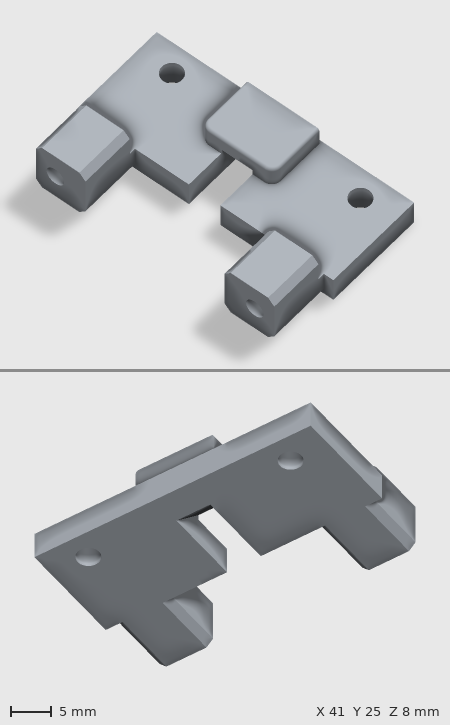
import cadquery as cq
import math

plate_width = 41.0
plate_depth = 15.5
plate_height = 3.98
mount_hole_diameter = 3.2
mount_hole_inset = 5.5
mount_hole_rear_gap = 3.7

boss_width = 11.6
boss_rear_gap = 0.5
boss_depth = 8.8
boss_top = 7.0
boss_corner_radius = 1.45
boss_edge_radius = 0.45

slot_width = 5.0
slot_roof_height = 4.8
ramp_angle = 45.0

arm_width = 7.9
arm_height = 8.0
arm_side_gap = 1.5
arm_chamfer = 1.0
arm_block_start = 16.52
cap_thickness = 2.0
overall_depth = 25.0
cap_hole_diameter = 2.8
cap_hole_inset = 4.65

half_width = plate_width / 2
arm_center = half_width - arm_side_gap - arm_width / 2
cap_hole_center = half_width - cap_hole_inset
mount_hole_center = half_width - mount_hole_inset
cap_start = overall_depth - cap_thickness
boss_front = boss_rear_gap + boss_depth
SIDES = (-1, 1)


def box(width, depth, height, center_x, rear_distance, bottom=0.0):
    """Box whose rear face lies rear_distance in front of the plate rear."""
    return (
        cq.Workplane("XY")
        .box(width, depth, height, centered=(True, False, False))
        .translate((center_x, -rear_distance - depth, bottom))
    )


def chamfered_bar(side, start, end):
    """Square bar along Y with its four long edges chamfered."""
    bar = box(arm_width, end - start, arm_height, side * arm_center, start)
    return bar.edges("|Y").chamfer(arm_chamfer)


def make_arm(side):
    """Full-height block joined to the plate by a neck at plate height."""
    arm = chamfered_bar(side, plate_depth, cap_start)
    step = box(
        arm_width,
        arm_block_start - plate_depth,
        arm_height - plate_height,
        side * arm_center,
        plate_depth,
        plate_height,
    )
    return arm.cut(step)


def make_boss():
    boss = box(boss_width, boss_depth, boss_top - plate_height, 0, boss_rear_gap, plate_height)
    boss = boss.edges("|Z and <Y").fillet(boss_corner_radius)
    return boss.faces(">Z").edges("not(>Y)").fillet(boss_edge_radius)


def make_slot():
    """Slot cutter, open at the front, ending in the ramp."""
    ramp_run = slot_roof_height / math.tan(math.radians(ramp_angle))
    return (
        cq.Workplane("YZ")
        .moveTo(-plate_depth, 0)
        .lineTo(-boss_front + ramp_run, 0)
        .lineTo(-boss_front, slot_roof_height)
        .lineTo(-plate_depth, slot_roof_height)
        .close()
        .extrude(slot_width / 2, both=True)
    )


def make_base():
    base = box(plate_width, plate_depth, plate_height, 0, 0).union(make_boss()).cut(make_slot())
    for side in SIDES:
        base = base.union(make_arm(side))
    mount_holes = (
        cq.Workplane("XY")
        .pushPoints([(side * mount_hole_center, -mount_hole_rear_gap) for side in SIDES])
        .circle(mount_hole_diameter / 2)
        .extrude(plate_height)
    )
    return base.cut(mount_holes)


def make_end_cap(side):
    """End cap with a hole through it, offset outwards from the arm centre."""
    cap = chamfered_bar(side, cap_start, overall_depth)
    hole = (
        cq.Workplane("XZ", origin=(side * cap_hole_center, -cap_start, arm_height / 2))
        .circle(cap_hole_diameter / 2)
        .extrude(cap_thickness)
    )
    return cap.cut(hole)


base = make_base()
end_caps = [make_end_cap(side) for side in SIDES]

result = cq.Compound.makeCompound([base.val(), *[cap.val() for cap in end_caps]])